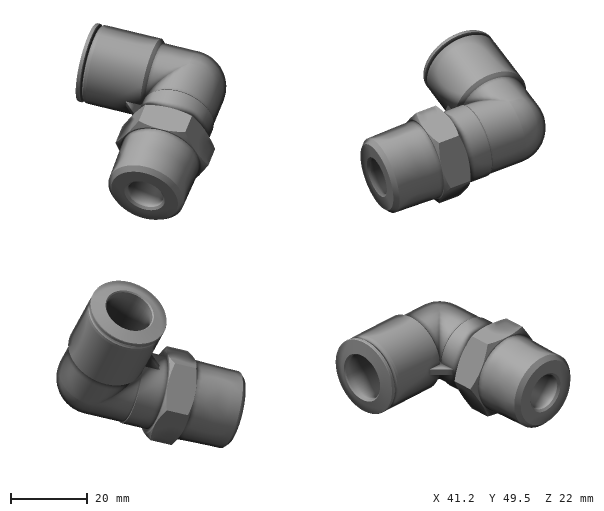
import cadquery as cq
import math


tube_end = -28.5
ring_diameter = 21.0
ring_rim_start = -27.65
ring_rim_end = -26.95
ring_face_diameter = 13.35
ring_rim_chamfer_x = 0.2
ring_rim_chamfer_r = 0.1
neck_root_diameter = 14.35
neck_root_end = -26.6
neck_diameter = 14.1

body_diameter = 21.0
body_start = -26.25
body_chamfer = 0.4
body_lead_diameter = 20.85
body_lead_end = -25.05
body_end = -10.3

elbow_diameter = 19.0
elbow_run_start = body_end + (body_diameter - elbow_diameter) / 2
groove_start = -9.9
groove_diameter = 18.7

collar_diameter = 19.6
collar_start = -10.3
hex_start = -17.25
hex_end = -25.0
hex_across_flats = 22.0
hex_chamfer_angle = 30.0
thread_large_diameter = 21.25
thread_small_diameter = 20.6
stem_end = -39.0
thread_chamfer = 1.2

socket_diameter = 12.7
socket_floor = body_end
run_bore_diameter = 10.0
stem_bore_diameter = 9.8
stem_mouth_diameter = 11.0
mouth_chamfer = (ring_face_diameter - socket_diameter) / 2

rib_thickness = 1.7
rib_leg_x = -14.15
rib_leg_y = -body_diameter / 2
rib_root = -8.4


def make_run():
    """Release ring, neck, socket body with tapered lead and run-side elbow leg, turned about X."""
    profile = (
        cq.Workplane("XY")
        .moveTo(tube_end, 0)
        .lineTo(tube_end, ring_face_diameter / 2)
        .lineTo(ring_rim_start - ring_rim_chamfer_x, ring_diameter / 2 - ring_rim_chamfer_r)
        .lineTo(ring_rim_start, ring_diameter / 2)
        .lineTo(ring_rim_end, ring_diameter / 2)
        .lineTo(ring_rim_end, neck_root_diameter / 2)
        .lineTo(neck_root_end, neck_diameter / 2)
        .lineTo(body_start, neck_diameter / 2)
        .lineTo(body_start, body_lead_diameter / 2 - body_chamfer)
        .lineTo(body_start + body_chamfer, body_lead_diameter / 2)
        .lineTo(body_lead_end, body_diameter / 2)
        .lineTo(body_end, body_diameter / 2)
        .lineTo(elbow_run_start, elbow_diameter / 2)
        .lineTo(0, elbow_diameter / 2)
        .lineTo(0, 0)
        .close()
    )
    return profile.revolve(360, (0, 0, 0), (1, 0, 0))


def make_stem():
    """Stem-side elbow leg, groove, collar and tapered thread, turned about Y."""
    profile = (
        cq.Workplane("XY")
        .moveTo(0, 0)
        .lineTo(elbow_diameter / 2, 0)
        .lineTo(elbow_diameter / 2, groove_start)
        .lineTo(groove_diameter / 2, groove_start)
        .lineTo(groove_diameter / 2, collar_start)
        .lineTo(collar_diameter / 2, collar_start)
        .lineTo(collar_diameter / 2, hex_end)
        .lineTo(thread_large_diameter / 2, hex_end)
        .lineTo(thread_small_diameter / 2, stem_end + thread_chamfer)
        .lineTo(thread_small_diameter / 2 - thread_chamfer, stem_end)
        .lineTo(0, stem_end)
        .close()
    )
    return profile.revolve(360, (0, 0, 0), (0, 1, 0))


def make_hexagon():
    """Wrench hexagon with corners on +X and -X, both ends turned to a chamfer."""
    corner_radius = hex_across_flats / 2 / math.cos(math.pi / 6)
    flat_radius = hex_across_flats / 2
    drop = (corner_radius - flat_radius) * math.tan(math.radians(hex_chamfer_angle))
    prism = (
        cq.Workplane("XZ", origin=(0, hex_start, 0))
        .polygon(6, 2 * corner_radius)
        .extrude(hex_start - hex_end)
    )
    envelope = (
        cq.Workplane("XY")
        .moveTo(0, hex_start)
        .lineTo(flat_radius, hex_start)
        .lineTo(corner_radius, hex_start - drop)
        .lineTo(corner_radius, hex_end + drop)
        .lineTo(flat_radius, hex_end)
        .lineTo(0, hex_end)
        .close()
        .revolve(360, (0, 0, 0), (0, 1, 0))
    )
    return prism.intersect(envelope)


def make_rib():
    """Triangular rib with a 45 degree edge in the inner corner of the elbow."""
    edge_sum = rib_leg_x + rib_leg_y
    return (
        cq.Workplane("XY")
        .moveTo(rib_leg_x, rib_leg_y)
        .lineTo(edge_sum - rib_root, rib_root)
        .lineTo(rib_root, rib_root)
        .lineTo(rib_root, edge_sum - rib_root)
        .close()
        .extrude(rib_thickness / 2, both=True)
    )


def make_run_bore():
    """Stepped tube socket along X, ending in a hemisphere at the elbow centre."""
    bore_radius = run_bore_diameter / 2
    diagonal = bore_radius * math.sqrt(0.5)
    profile = (
        cq.Workplane("XY")
        .moveTo(tube_end, 0)
        .lineTo(tube_end, ring_face_diameter / 2)
        .lineTo(tube_end + mouth_chamfer, socket_diameter / 2)
        .lineTo(socket_floor, socket_diameter / 2)
        .lineTo(socket_floor, bore_radius)
        .lineTo(0, bore_radius)
        .threePointArc((diagonal, diagonal), (bore_radius, 0))
        .close()
    )
    return profile.revolve(360, (0, 0, 0), (1, 0, 0))


def make_stem_bore():
    """Straight bore along Y with a chamfered mouth."""
    bore_radius = stem_bore_diameter / 2
    mouth_radius = stem_mouth_diameter / 2
    profile = (
        cq.Workplane("XY")
        .lineTo(bore_radius, 0)
        .lineTo(bore_radius, stem_end + mouth_radius - bore_radius)
        .lineTo(mouth_radius, stem_end)
        .lineTo(0, stem_end)
        .close()
    )
    return profile.revolve(360, (0, 0, 0), (0, 1, 0))


def make_corner():
    """Spherical quarter that rounds the outer corner where the two legs meet."""
    radius = elbow_diameter / 2
    profile = (
        cq.Workplane("XY")
        .moveTo(0, -radius)
        .threePointArc((radius, 0), (0, radius))
        .close()
    )
    ball = profile.revolve(360, (0, 0, 0), (0, 1, 0))
    quarter = cq.Workplane("XY").box(radius, radius, 2 * radius, centered=(False, False, True))
    return ball.intersect(quarter)


outside = make_run().union(make_stem()).union(make_corner()).union(make_hexagon()).union(make_rib())
result = outside.cut(make_run_bore()).cut(make_stem_bore())